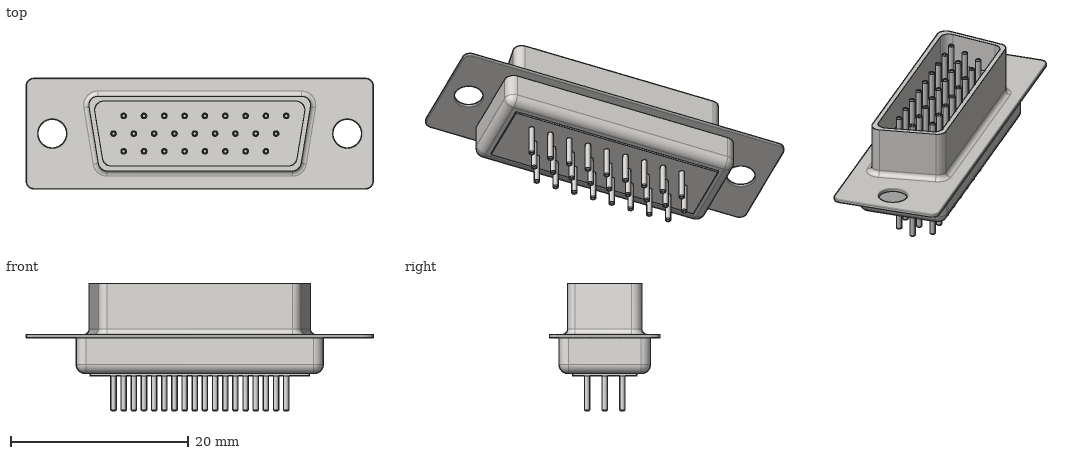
import cadquery as cq
import math

flange_length = 39.2
flange_width = 12.5
flange_thickness = 0.4
flange_corner_radius = 0.9
flange_edge_radius = 0.08
hole_diameter = 3.2
hole_spacing = 33.3

shell_height = 5.75
shell_depth = 8.43
shell_mid_width = 24.0
shell_wall = 0.55
shell_corner_radius = 1.0
shell_root_radius = 0.6
side_angle = math.radians(9.3)
cavity_depth = 3.65

housing_length = 27.9
housing_width = 10.35
housing_bottom = -4.43
housing_corner_radius = 1.1
housing_edge_radius = 1.05
insulator_length = 24.75
insulator_width = 7.25
insulator_bottom = -4.65

pin_diameter = 0.63
pin_end_chamfer = 0.1
pin_top = 5.55
pin_bottom = -8.62
pins_per_full_row = 9
pin_row_length = 18.35
pin_pitch = pin_row_length / (pins_per_full_row - 1)
pin_row_spacing = 2.0
pin_start_x = -8.6


def block(length, width, bottom, top):
    """Box centred on the Z axis between two heights."""
    centre_height = (bottom + top) / 2
    return cq.Workplane("XY").box(length, width, top - bottom).translate((0, 0, centre_height))


def d_prism(inset, corner_radius, bottom, top):
    """Rounded trapezoid prism, wide at +Y, with every side of the shell outline moved inward by inset."""
    half_depth = shell_depth / 2 - inset
    half_mid = shell_mid_width / 2 - inset / math.cos(side_angle)
    taper = half_depth * math.tan(side_angle)
    corners = [
        (-half_mid + taper, -half_depth),
        (half_mid - taper, -half_depth),
        (half_mid + taper, half_depth),
        (-half_mid - taper, half_depth),
    ]
    prism = cq.Workplane("XY").workplane(offset=bottom).polyline(corners).close().extrude(top - bottom)
    return prism.edges("|Z").fillet(corner_radius)


def make_flange():
    plate = block(flange_length, flange_width, -flange_thickness, 0)
    plate = plate.edges("|Z").fillet(flange_corner_radius)
    plate = plate.faces(">Z").workplane().rarray(hole_spacing, 0.4, 2, 1).hole(hole_diameter)
    return plate.faces("<Z or >Z").edges().fillet(flange_edge_radius)


def make_shell():
    """Solid D-shaped post on a thin base, flaring out at its root to blend into the flange."""
    base_bottom = -flange_thickness / 2
    base = d_prism(-2 * shell_root_radius, shell_corner_radius, base_bottom, 0)
    shell = base.union(d_prism(0, shell_corner_radius, 0, shell_height))
    reach_x = shell_mid_width / 2 + shell_root_radius
    reach_y = shell_depth / 2 + shell_root_radius
    foot = cq.selectors.BoxSelector((-reach_x, -reach_y, base_bottom / 2), (reach_x, reach_y, -base_bottom))
    shell = shell.edges(foot).fillet(shell_root_radius)
    trim_radius = shell_corner_radius + shell_root_radius
    return shell.intersect(d_prism(-shell_root_radius, trim_radius, base_bottom, shell_height))


def make_housing():
    housing = block(housing_length, housing_width, housing_bottom, -flange_thickness)
    housing = housing.edges("|Z").fillet(housing_corner_radius)
    return housing.faces("<Z").edges().fillet(housing_edge_radius)


def make_insulator():
    return block(insulator_length, insulator_width, insulator_bottom, housing_bottom)


def make_cavity():
    return d_prism(shell_wall, shell_corner_radius, shell_height - cavity_depth, shell_height)


def pin_positions():
    rows = [
        (pin_start_x, pin_row_spacing, pins_per_full_row),
        (pin_start_x - pin_pitch / 2, 0, pins_per_full_row),
        (pin_start_x, -pin_row_spacing, pins_per_full_row - 1),
    ]
    return [(start + i * pin_pitch, y) for start, y, count in rows for i in range(count)]


def make_pin(x, y):
    pin = cq.Workplane("XY").circle(pin_diameter / 2).extrude(pin_top - pin_bottom)
    pin = pin.faces("<Z or >Z").edges().chamfer(pin_end_chamfer)
    return pin.translate((x, y, pin_bottom))


result = make_flange().union(make_shell()).union(make_housing()).union(make_insulator())
result = result.cut(make_cavity())
for pin_x, pin_y in pin_positions():
    result = result.union(make_pin(pin_x, pin_y))